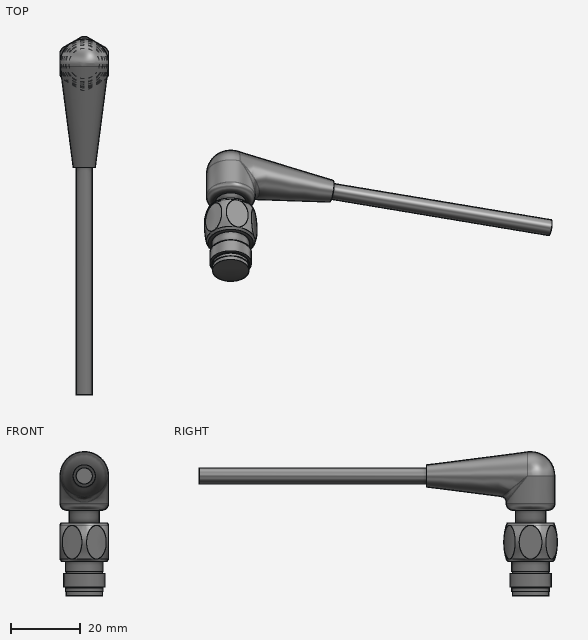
import cadquery as cq
import math

total_length = 102.7
total_height = 41.4

head_radius = 7.0
housing_bottom = -9.9
housing_bottom_fillet = 2.0
boot_end = -29.9
boot_end_radius = 3.2
boot_root_fillet = 1.5
cable_diameter = 4.6

nut_across_flats = 2 * head_radius
nut_flat_count = 6
nut_max_radius = 7.7
nut_top = -13.5
nut_bottom = -24.5
nut_chamfer_height = 0.7
nut_top_radius = 6.7
nut_bottom_radius = 6.5

neck_diameter = 8.7
shank_diameter = 10.8
tip_diameter = 10.5
collar_diameter = 11.9
shank_bottom = -27.4
collar_top = -27.9
collar_bottom = -31.8
groove_bottom = -32.1
rim_bottom = -33.2
connector_bottom = head_radius - total_height

cable_end = nut_max_radius - total_length


def disc(diameter, top, bottom):
    """Vertical cylinder between two heights."""
    return cq.Workplane("XY").workplane(offset=bottom).circle(diameter / 2).extrude(top - bottom)


def make_housing():
    """Domed vertical body joined to a boot that tapers tangentially from the dome."""
    body = disc(2 * head_radius, 0, housing_bottom).faces("<Z").edges().fillet(housing_bottom_fillet)
    dome = cq.Workplane("XY").sphere(head_radius)

    end_distance = math.hypot(boot_end, boot_end_radius)
    taper = math.asin(head_radius / end_distance) - math.atan2(boot_end_radius, -boot_end)
    tangent_y = -head_radius * math.sin(taper)
    tangent_radius = head_radius * math.cos(taper)
    boot = (
        cq.Workplane("XY")
        .moveTo(0, tangent_y)
        .lineTo(tangent_radius, tangent_y)
        .lineTo(boot_end_radius, boot_end)
        .lineTo(0, boot_end)
        .close()
        .revolve(360, (0, 0, 0), (0, 1, 0))
    )
    housing = body.union(dome).union(boot)
    return housing.edges("%BSPLINE").fillet(boot_root_fillet)


def make_nut():
    """Hexagon with two flats facing along X, barrel-turned and chamfered at both ends."""
    shoulder_radius = nut_across_flats / 2
    upper = nut_top - nut_chamfer_height
    lower = nut_bottom + nut_chamfer_height
    barrel = (
        cq.Workplane("XZ")
        .moveTo(0, nut_bottom)
        .lineTo(nut_bottom_radius, nut_bottom)
        .lineTo(shoulder_radius, lower)
        .threePointArc((nut_max_radius, (upper + lower) / 2), (shoulder_radius, upper))
        .lineTo(nut_top_radius, nut_top)
        .lineTo(0, nut_top)
        .close()
        .revolve(360, (0, 0, 0), (0, 1, 0))
    )
    across_corners = nut_across_flats / math.cos(math.pi / nut_flat_count)
    hexagon = (
        cq.Workplane("XY")
        .workplane(offset=nut_bottom)
        .polygon(nut_flat_count, across_corners)
        .extrude(nut_top - nut_bottom)
        .rotate((0, 0, 0), (0, 0, 1), 180 / nut_flat_count)
    )
    return barrel.intersect(hexagon)


def make_connector():
    """Stack of turned sections: neck, shank, groove, collar, groove, rim and tip."""
    sections = [
        (neck_diameter, housing_bottom, nut_top),
        (shank_diameter, nut_bottom, shank_bottom),
        (tip_diameter, shank_bottom, collar_top),
        (collar_diameter, collar_top, collar_bottom),
        (tip_diameter, collar_bottom, groove_bottom),
        (shank_diameter, groove_bottom, rim_bottom),
        (tip_diameter, rim_bottom, connector_bottom),
    ]
    connector = make_nut()
    for diameter, top, bottom in sections:
        connector = connector.union(disc(diameter, top, bottom))
    return connector


cable = cq.Workplane("XZ", origin=(0, boot_end, 0)).circle(cable_diameter / 2).extrude(boot_end - cable_end)

result = make_housing().union(cable).union(make_connector())